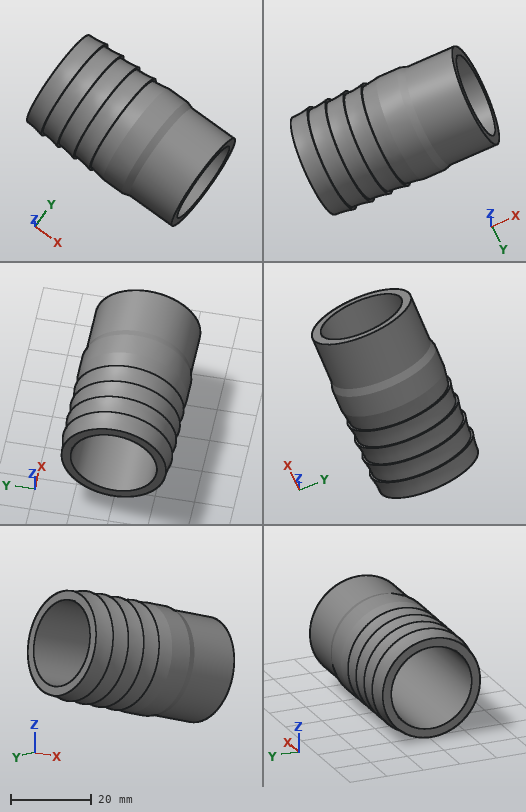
import cadquery as cq
import math

length = 45.0
crest_radius = 14.0
root_radius = 13.3
spigot_radius = 13.4
bore_radius = 11.0

barb_count = 4
barb_pitch = 5.0

collar_start = 24.25
collar_end = 30.05
taper_end = 32.0


def add_barb(outline, start):
    """Hollow flank leaving the root parallel to the axis, then a square step back down."""
    rise = crest_radius - root_radius
    arc_radius = (barb_pitch**2 + rise**2) / (2 * rise)
    half_angle = math.asin(barb_pitch / arc_radius) / 2
    arc_middle = (
        start + arc_radius * math.sin(half_angle),
        root_radius + arc_radius * (1 - math.cos(half_angle)),
    )
    end = start + barb_pitch
    return outline.threePointArc(arc_middle, (end, crest_radius)).lineTo(end, root_radius)


profile = cq.Workplane("XZ").moveTo(0, bore_radius).lineTo(0, root_radius)
for barb in range(barb_count):
    profile = add_barb(profile, barb * barb_pitch)
profile = (
    profile.lineTo(collar_start, crest_radius)
    .lineTo(collar_end, crest_radius)
    .lineTo(taper_end, spigot_radius)
    .lineTo(length, spigot_radius)
    .lineTo(length, bore_radius)
    .close()
)

result = profile.revolve(360, (0, 0, 0), (1, 0, 0))